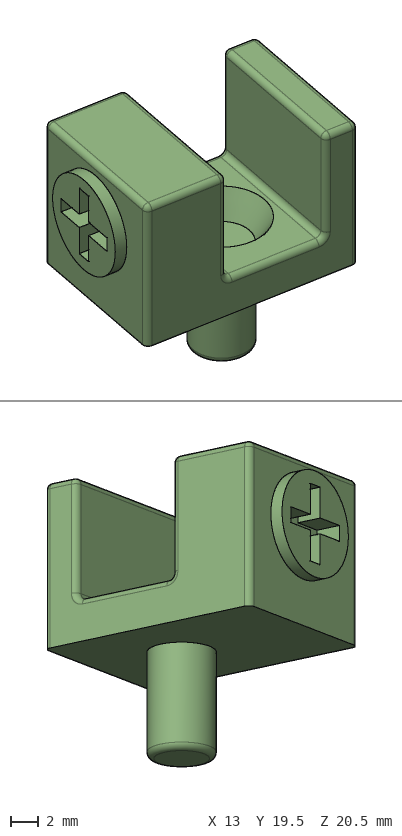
import cadquery as cq

width = 13.0
depth = 18.5
total_height = 20.5
stem_length = 8.02
block_height = total_height - stem_length
edge_radius = 0.5

front_wall = 7.0
back_wall = 2.91
floor_thickness = 3.28

stem_diameter = 5.0
stem_to_front = 11.0
recess_top_diameter = 7.5
recess_bottom_diameter = 4.85
recess_depth = 2.2

head_diameter = 8.0
head_thickness = 1.0
head_below_top = 5.0
cross_length = 5.85
cross_width = 1.19
cross_depth = 2.0

front_y = -stem_to_front
head_z = block_height - head_below_top


def make_block():
    """U-shaped block with every edge rounded except those of the underside."""
    slot_length = depth - front_wall - back_wall
    slot_height = block_height - floor_thickness
    block = cq.Workplane("XY").box(width, depth, block_height, centered=(True, False, False))
    slot = (
        cq.Workplane("XY")
        .workplane(offset=floor_thickness)
        .box(width, slot_length, slot_height, centered=(True, False, False))
        .translate((0, front_wall, 0))
        .edges("|X and <Z")
        .fillet(edge_radius)
    )
    block = block.cut(slot).translate((0, front_y, 0))

    side_edges = block.faces("<X or >X").edges("not <Z")
    outer_edges = block.faces(">Z").edges("|X")
    return block.newObject(side_edges.vals() + outer_edges.vals()).fillet(edge_radius)


def make_stem():
    """Round stem below the block with a rounded tip."""
    return (
        cq.Workplane("XY")
        .circle(stem_diameter / 2)
        .extrude(-stem_length)
        .faces("<Z")
        .edges()
        .fillet(edge_radius)
    )


def make_recess():
    """Tapered recess in the slot floor, narrowing downwards."""
    return (
        cq.Workplane("XY")
        .workplane(offset=floor_thickness)
        .circle(recess_top_diameter / 2)
        .workplane(offset=-recess_depth)
        .circle(recess_bottom_diameter / 2)
        .loft(ruled=True)
    )


def make_head_and_drive():
    """Screw head standing out of the front face, and the cross that is cut into it."""
    head = (
        cq.Workplane("XZ", origin=(0, front_y, head_z))
        .circle(head_diameter / 2)
        .extrude(head_thickness)
    )
    drive_start = cq.Workplane("XZ", origin=(0, front_y - head_thickness, head_z))
    level_bar = drive_start.rect(cross_length, cross_width).extrude(-cross_depth)
    upright_bar = drive_start.rect(cross_width, cross_length).extrude(-cross_depth)
    drive = level_bar.union(upright_bar)
    return head, drive


head, drive = make_head_and_drive()
body = make_block().union(make_stem()).cut(make_recess())
result = body.union(head).cut(drive)